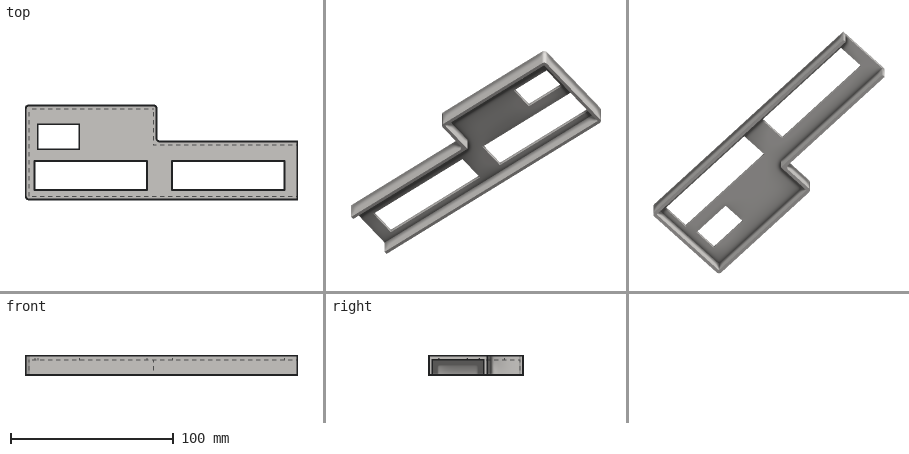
import cadquery as cq

length = 167.0
depth = 58.0
height = 12.0

block_length = 80.5
arm_depth = 35.7
corner_radius = 2.0

plate_thickness = 2.5
wall_thickness = 2.0

long_window_length = 69.0
long_window_depth = 17.7
long_window_front = 6.0
long_window_lefts = (5.5, 90.0)

small_window_length = 25.4
small_window_depth = 15.2
small_window_left = 7.5
small_window_front = 31.0


def stepped_block(inset, block_height):
    """L-shaped block whose sides, apart from the arm's end, are moved inwards by inset."""
    return (
        cq.Workplane("XY")
        .moveTo(inset, inset)
        .lineTo(length, inset)
        .lineTo(length, arm_depth - inset)
        .lineTo(block_length - inset, arm_depth - inset)
        .lineTo(block_length - inset, depth - inset)
        .lineTo(inset, depth - inset)
        .close()
        .extrude(block_height)
    )


def outer_body():
    """Full-height block with every upright edge rounded except the two at the arm's end."""
    upright_edges = cq.StringSyntaxSelector("|Z")
    right_end_edges = cq.StringSyntaxSelector(">X")
    return stepped_block(0, height).edges(upright_edges - right_end_edges).fillet(corner_radius)


def window(left, front, window_length, window_depth):
    """Rectangular cutter, placed by its front-left corner, through the full height."""
    cutter = cq.Workplane("XY").box(window_length, window_depth, height, centered=False)
    return cutter.translate((left, front, 0))


cavity = stepped_block(wall_thickness, height - plate_thickness)
result = outer_body().cut(cavity)

for long_window_left in long_window_lefts:
    result = result.cut(
        window(long_window_left, long_window_front, long_window_length, long_window_depth)
    )

result = result.cut(
    window(small_window_left, small_window_front, small_window_length, small_window_depth)
)